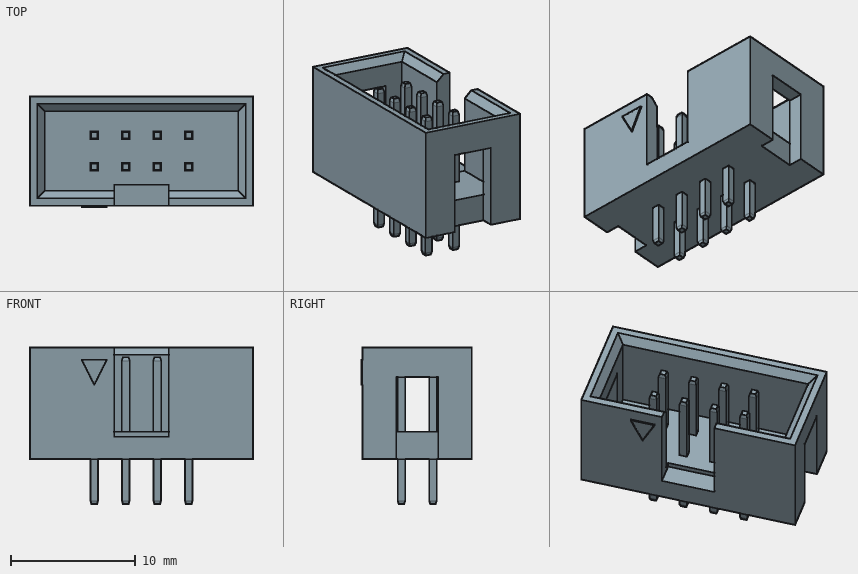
import cadquery as cq


length = 17.96
width = 8.8
height = 9.0
wall = 1.2
floor_thickness = 2.21
rim_wall = 0.6
rim_bevel_depth = 0.6

notch_width = 4.4
notch_depth = 1.7
notch_sill = 1.8

end_slot_width = 3.35
end_slot_height = 6.6

columns = 4
rows = 2
pitch = 2.53
pin_side = 0.63
pin_below_housing = 3.61
pin_below_rim = 0.79
tip_height = 0.29
tip_inset = 0.09

marker_size = 2.01
marker_below_rim = 1.0
marker_relief = 0.1

first_column_x = -(columns - 1) * pitch / 2
first_row_y = -(rows - 1) * pitch / 2
front_y = -width / 2


def box_from(size_x, size_y, size_z, base_z=0):
    """Box centred on the Z axis, standing on the level base_z."""
    return cq.Workplane("XY", origin=(0, 0, base_z)).rect(size_x, size_y).extrude(size_z)


def make_housing():
    """Open box with a bevelled inner rim, a front notch and end slots."""
    cavity_length = length - 2 * wall
    cavity_width = width - 2 * wall
    body = box_from(length, width, height)
    body = body.cut(box_from(cavity_length, cavity_width, height, floor_thickness))

    rim_bevel = (
        cq.Workplane("XY", origin=(0, 0, height - rim_bevel_depth))
        .rect(cavity_length, cavity_width)
        .workplane(offset=rim_bevel_depth)
        .rect(length - 2 * rim_wall, width - 2 * rim_wall)
        .loft(ruled=True)
    )
    body = body.cut(rim_bevel)

    notch = box_from(notch_width, notch_depth, height, notch_sill)
    body = body.cut(notch.translate((0, front_y + notch_depth / 2, 0)))

    for side in (-1, 1):
        slot = box_from(wall, end_slot_width, end_slot_height)
        body = body.cut(slot.translate((side * (length - wall) / 2, 0, 0)))
    return body


def make_tip(start_z, rise):
    """Tapered pin end growing from start_z by rise, which is negative for a lower tip."""
    tip_side = pin_side - 2 * tip_inset
    return (
        cq.Workplane("XY", origin=(0, 0, start_z))
        .rect(pin_side, pin_side)
        .workplane(offset=rise)
        .rect(tip_side, tip_side)
        .loft(ruled=True)
    )


def make_pin():
    """Square pin with tapered ends, on the Z axis."""
    shank_bottom = -pin_below_housing + tip_height
    shank_top = height - pin_below_rim - tip_height
    shank = box_from(pin_side, pin_side, shank_top - shank_bottom, shank_bottom)
    return shank.union(make_tip(shank_top, tip_height)).union(make_tip(shank_bottom, -tip_height))


def make_marker():
    """Triangle on the front face, pointing down at the first column of pins."""
    top_z = height - marker_below_rim
    corners = [
        (first_column_x - marker_size / 2, top_z),
        (first_column_x + marker_size / 2, top_z),
        (first_column_x, top_z - marker_size),
    ]
    return cq.Workplane("XZ", origin=(0, front_y, 0)).polyline(corners).close().extrude(marker_relief)


result = make_housing().union(make_marker())
pin = make_pin()
for column in range(columns):
    for row in range(rows):
        pin_x = first_column_x + column * pitch
        pin_y = first_row_y + row * pitch
        result = result.union(pin.translate((pin_x, pin_y, 0)))